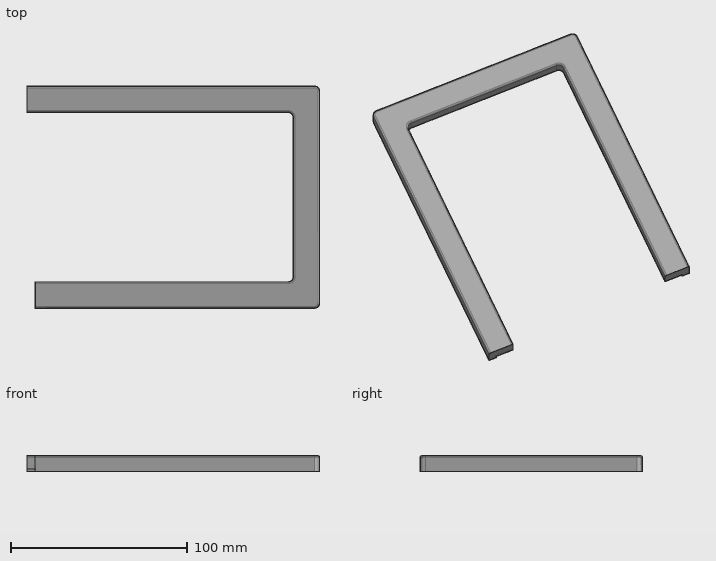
import cadquery as cq

length = 166.26
width = 126.2
height = 9.0

bar_width = 15.0
front_arm_setback = 4.76
outer_corner_radius = 3.0
inner_corner_radius = 3.0
top_edge_radius = 1.0

lip_width = 4.5
rabbet_depth = 1.5

x_open = -length / 2
x_closed = length / 2
y_front = -width / 2
y_back = width / 2
y_middle = 0
front_arm_end = x_open + front_arm_setback

overrun = 5.0


def rounded_block(x_end, y_low, y_high, z_size, corner_radius):
    """Block from beyond the open end to x_end, with the two corners at x_end rounded."""
    x_start = x_open - overrun
    return (
        cq.Workplane("XY")
        .box(x_end - x_start, y_high - y_low, z_size, centered=False)
        .translate((x_start, y_low, 0))
        .edges("|Z and >X")
        .fillet(corner_radius)
    )


def rounded_body():
    """U-shaped frame with its top edges rounded, arms still overlong."""
    outer = rounded_block(x_closed, y_front, y_back, height, outer_corner_radius)
    opening = rounded_block(
        x_closed - bar_width, y_front + bar_width, y_back - bar_width, height, inner_corner_radius
    )
    return outer.cut(opening).faces(">Z").edges("not <X").fillet(top_edge_radius)


def cut_rabbet(body):
    """Recess the inner part of the underside, open at the arm ends."""
    rabbet = (
        cq.Workplane("XY")
        .box(length - lip_width + overrun, width - 2 * lip_width, rabbet_depth, centered=False)
        .translate((x_open - overrun, y_front + lip_width, 0))
    )
    return body.cut(rabbet)


def trim_arm(body, arm_end, y_low):
    """Cut off square whatever reaches beyond arm_end on the arm starting at y_low."""
    x_start = x_open - 2 * overrun
    waste = (
        cq.Workplane("XY")
        .box(arm_end - x_start, y_back - y_middle, height, centered=False)
        .translate((x_start, y_low, 0))
    )
    return body.cut(waste)


result = cut_rabbet(rounded_body())
result = trim_arm(result, front_arm_end, y_front)
result = trim_arm(result, x_open, y_middle)